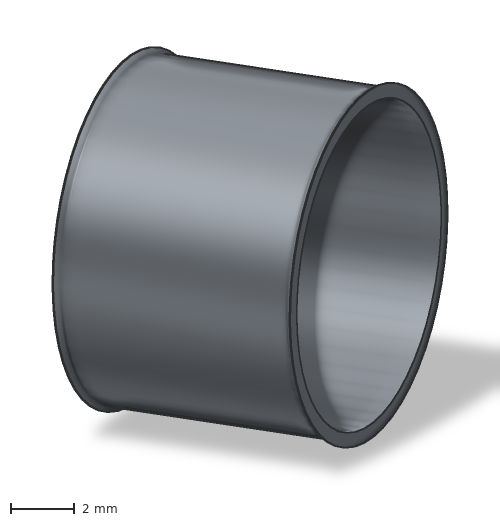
import cadquery as cq
import math

length = 8.24
rim_radius = 5.77
body_radius = 5.6
bore_radius = 5.3
lip_width = 0.03
blend_radius = 0.12
flare_angle = math.radians(45)

half_length = length / 2
blend_rise = blend_radius * (1 - math.cos(flare_angle))
blend_run = blend_radius * math.sin(flare_angle)
cone_rise = rim_radius - body_radius - blend_rise
flare_start = half_length - lip_width
blend_outer_x = flare_start - cone_rise / math.tan(flare_angle)
blend_inner_x = blend_outer_x - blend_run
blend_outer_radius = body_radius + blend_rise

mid_angle = flare_angle / 2
blend_mid_x = blend_inner_x + blend_radius * math.sin(mid_angle)
blend_mid_radius = body_radius + blend_radius * (1 - math.cos(mid_angle))

result = (
    cq.Workplane("XZ")
    .moveTo(-half_length, bore_radius)
    .lineTo(half_length, bore_radius)
    .lineTo(half_length, rim_radius)
    .lineTo(flare_start, rim_radius)
    .lineTo(blend_outer_x, blend_outer_radius)
    .threePointArc((blend_mid_x, blend_mid_radius), (blend_inner_x, body_radius))
    .lineTo(-blend_inner_x, body_radius)
    .threePointArc((-blend_mid_x, blend_mid_radius), (-blend_outer_x, blend_outer_radius))
    .lineTo(-flare_start, rim_radius)
    .lineTo(-half_length, rim_radius)
    .close()
    .revolve(360, (0, 0, 0), (1, 0, 0))
)